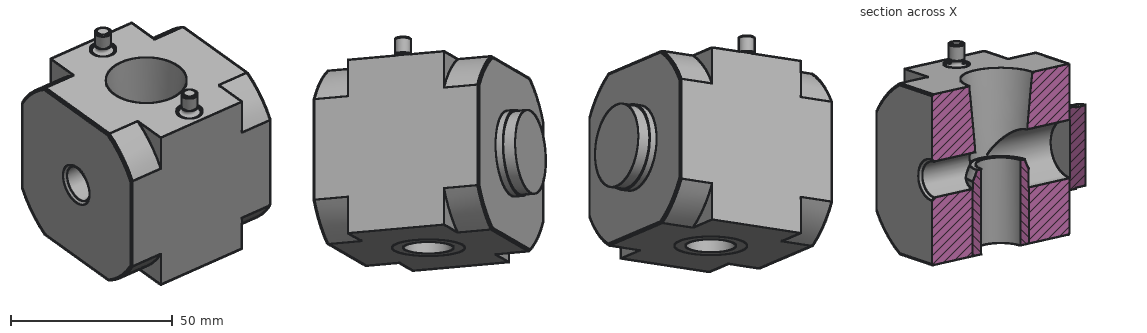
import cadquery as cq
import math


cube_side = 55.0
half_side = cube_side / 2
corner_cut = 11.55
edge_chamfer = 0.5
flat_half = half_side - corner_cut
corner_radius = math.hypot(half_side, flat_half)

top_port_diameter = 25.0
throat_diameter = 18.85
front_hole_diameter = 11.45
front_countersink_diameter = 13.2
front_countersink_depth = (front_countersink_diameter - front_hole_diameter) / 2
back_bore_diameter = 18.6

seat_bore_diameter = 15.6
seat_rim_diameter = 19.15
seat_body_diameter = 22.5
seat_cone_height = 3.4

cap_flange_diameter = 26.7
cap_flange_thickness = 2.4
cap_diameter = 26.0
cap_height = 3.95

pin_offset = 21.55
pin_positions = [-pin_offset, pin_offset]
pin_top = 61.8 - half_side
head_diameter = 5.0
head_top_diameter = 3.9
head_height = 5.05
neck_diameter = 3.7
head_chamfer_height = 0.45
head_underside_height = 0.45
flange_diameter = 7.0
flange_thickness = 3.1
flange_fillet = 1.05
pin_countersink_diameter = 8.15
pin_countersink_depth = 0.4
flange_top = half_side - pin_countersink_depth


def revolve_about_z(half_profile):
    """Solid of revolution from (radius, z) points."""
    return cq.Workplane("XZ").polyline(half_profile).close().revolve(360, (0, 0), (0, 1))


def revolve_about_y(half_profile):
    """Solid of revolution from (y, radius) points."""
    return cq.Workplane("YZ").polyline(half_profile).close().revolve(360, (0, 0), (1, 0))


def cylinder_along_y(diameter, y_start, length):
    """Cylinder on the Y axis, growing toward +Y from y_start."""
    radius = diameter / 2
    y_end = y_start + length
    return revolve_about_y([(y_start, 0), (y_start, radius), (y_end, radius), (y_end, 0)])


def seat_outline():
    """Outer half profile of the seat insert, from the rim down to the bottom edge."""
    return [
        (seat_rim_diameter / 2, 0),
        (seat_body_diameter / 2, -seat_cone_height),
        (seat_body_diameter / 2, -half_side),
    ]


def make_housing_block():
    """Cube whose front and back ends are trimmed to a cylinder at the corners."""
    end_trim = cylinder_along_y(2 * corner_radius, -half_side, cube_side)
    trimmed = cq.Workplane().box(cube_side, cube_side, cube_side).intersect(end_trim)
    trimmed = trimmed.faces("<Y or >Y").chamfer(edge_chamfer)
    middle = cq.Workplane().box(cube_side, 2 * flat_half, cube_side)
    return trimmed.union(middle)


def make_vertical_passage():
    """Taper from the top port to the throat at mid height, then the recess for the seat insert."""
    return revolve_about_z([
        (0, half_side),
        (top_port_diameter / 2, half_side),
        (throat_diameter / 2, 0),
        *seat_outline(),
        (0, -half_side),
    ])


def make_front_hole():
    """Hole from the front face to the middle, countersunk at 45 degrees."""
    hole = front_hole_diameter / 2
    mouth = front_countersink_diameter / 2
    return revolve_about_y([
        (-half_side, 0),
        (-half_side, mouth),
        (front_countersink_depth - half_side, hole),
        (0, hole),
        (0, 0),
    ])


def make_pin_recess(x):
    """Pocket for one pin flange, with a countersunk mouth."""
    flange = flange_diameter / 2
    mouth = pin_countersink_diameter / 2
    recess = revolve_about_z([
        (0, flange_top - flange_thickness),
        (flange, flange_top - flange_thickness),
        (flange, flange_top),
        (mouth, half_side),
        (0, half_side),
    ])
    return recess.translate((x, 0, 0))


def make_housing():
    body = make_housing_block()
    body = body.cut(make_vertical_passage())
    body = body.cut(make_front_hole())
    body = body.cut(cylinder_along_y(back_bore_diameter, 0, half_side))
    for x in pin_positions:
        body = body.cut(make_pin_recess(x))
    return body


def make_seat():
    """Truncated cone on a cylinder, with a straight bore through it."""
    bore_radius = seat_bore_diameter / 2
    return revolve_about_z([
        (bore_radius, 0),
        *seat_outline(),
        (bore_radius, -half_side),
    ])


def make_cap():
    flange = cylinder_along_y(cap_flange_diameter, half_side, cap_flange_thickness)
    disc = cylinder_along_y(cap_diameter, half_side + cap_flange_thickness, cap_height)
    return flange.union(disc)


def make_pin(x):
    """Pin with a chamfered head, a neck and a flange joined by a concave fillet."""
    neck = neck_diameter / 2
    head = head_diameter / 2
    flange = flange_diameter / 2
    head_bottom = pin_top - head_height
    fillet_top = flange_top + flange_fillet
    fillet_middle = flange_fillet * (1 - math.sqrt(0.5))
    pin = (
        cq.Workplane("XZ")
        .moveTo(0, flange_top - flange_thickness)
        .lineTo(flange, flange_top - flange_thickness)
        .lineTo(flange, flange_top)
        .lineTo(neck + flange_fillet, flange_top)
        .threePointArc((neck + fillet_middle, flange_top + fillet_middle), (neck, fillet_top))
        .lineTo(neck, head_bottom - head_underside_height)
        .lineTo(head, head_bottom)
        .lineTo(head, pin_top - head_chamfer_height)
        .lineTo(head_top_diameter / 2, pin_top)
        .lineTo(0, pin_top)
        .close()
        .revolve(360, (0, 0), (0, 1))
    )
    return pin.translate((x, 0, 0))


housing = make_housing()
seat = make_seat()
cap = make_cap()
pins = [make_pin(x) for x in pin_positions]

result = cq.Compound.makeCompound([
    housing.val(),
    seat.val(),
    cap.val(),
    *[pin.val() for pin in pins],
])